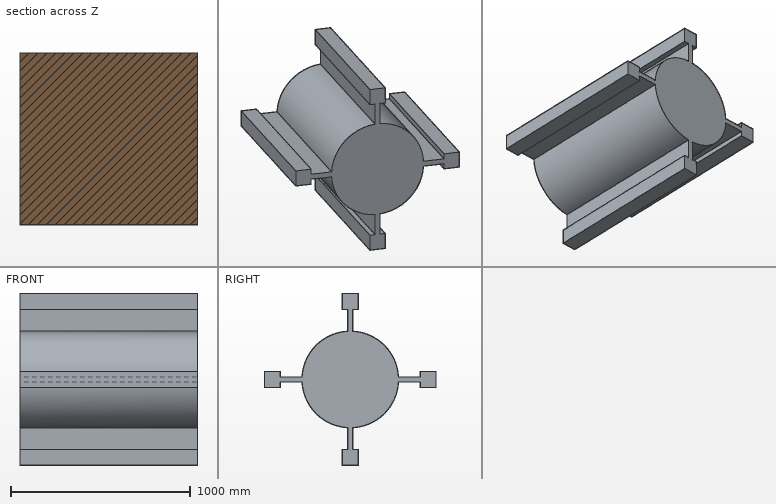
import cadquery as cq
import math

length = 990.0
drum_radius = 270.0
web_thickness = 30.0
web_height = 120.0
rail_size = 90.0
arm_count = 4

web_root = math.sqrt(drum_radius**2 - (web_thickness / 2) ** 2)
rail_inner = web_root + web_height
rail_center = rail_inner + rail_size / 2


def make_drum():
    """Solid cylinder along X, centred on the origin."""
    return cq.Workplane("YZ").circle(drum_radius).extrude(length / 2, both=True)


def make_arm():
    """Web and square rail pointing along +Z; the web starts at the drum axis."""
    web = cq.Workplane("XY").box(length, web_thickness, rail_inner, centered=(True, True, False))
    rail = cq.Workplane("XY").box(length, rail_size, rail_size).translate((0, 0, rail_center))
    return web.union(rail)


result = make_drum()
for arm_index in range(arm_count):
    arm_angle = arm_index * 360.0 / arm_count
    result = result.union(make_arm().rotate((0, 0, 0), (1, 0, 0), arm_angle))
result = result.clean()